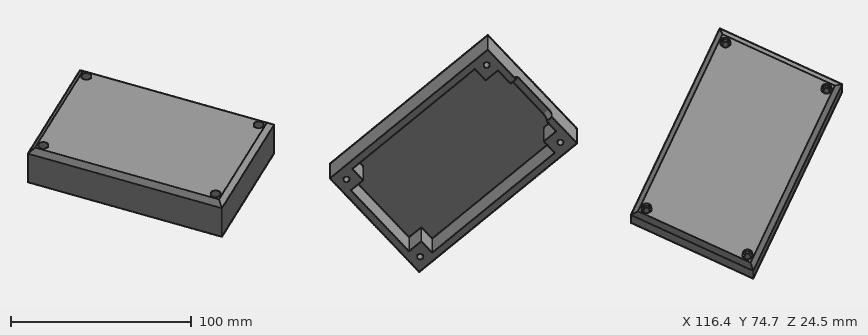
import cadquery as cq

length = 116.4
width = 74.7
height = 24.5
top_bevel = 3.0

wall = 4.0
top_thickness = 4.0
cavity_length = length - 2 * wall
cavity_width = width - 2 * wall
cavity_height = height - top_thickness

screw_inset = 6.5
screw_hole_diameter = 3.4
screw_head_diameter = 5.6
screw_head_depth = 6.0
post_size = 2 * screw_inset
screw_points = [
    (side_x * (length / 2 - screw_inset), side_y * (width / 2 - screw_inset))
    for side_x in (-1, 1)
    for side_y in (-1, 1)
]

notch_width = 30.0
notch_height = 6.0
notch_corner_radius = 3.0
notch_center_y = -1.3


def bevelled_block():
    block = cq.Workplane("XY").box(length, width, height, centered=(True, True, False))
    return block.faces(">Z").chamfer(top_bevel)


def cavity():
    """Open-bottomed hollow that leaves a square post standing in each corner."""
    hollow = cq.Workplane("XY").box(
        cavity_length, cavity_width, cavity_height, centered=(True, True, False)
    )
    posts = (
        cq.Workplane("XY")
        .pushPoints(screw_points)
        .rect(post_size, post_size)
        .extrude(cavity_height)
    )
    return hollow.cut(posts)


def cable_notch():
    """Cutter through the -X wall only, with its two upper corners rounded."""
    notch = cq.Workplane("XY").box(wall, notch_width, notch_height, centered=(False, True, False))
    notch = notch.edges("|X and >Z").fillet(notch_corner_radius)
    return notch.translate((-length / 2, notch_center_y, 0))


body = bevelled_block().cut(cavity()).cut(cable_notch())

result = (
    body.faces(">Z")
    .workplane(origin=(0, 0, height))
    .pushPoints(screw_points)
    .cboreHole(screw_hole_diameter, screw_head_diameter, screw_head_depth)
)